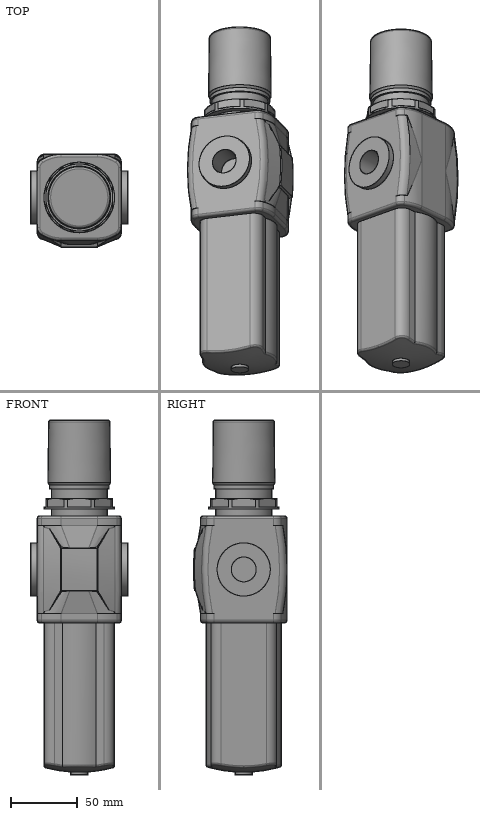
import cadquery as cq
import math


TOTAL_HEIGHT = 266.0
HOUSING_BOTTOM = 113.8
HOUSING_TOP = 194.1
HOUSING_HEIGHT = HOUSING_TOP - HOUSING_BOTTOM
PORT_Z = (HOUSING_BOTTOM + HOUSING_TOP) / 2

HOUSING_HALF_X = 31.52
HOUSING_HALF_Y = 32.5
FLAT_HALF_X = 13.5
CHEEK_END_Y = 25.8
CORNER_RADIUS = 6.6
RIM_FILLET = 2.0

BAND_HEIGHT = 7.2
CROWN_BOTTOM = HOUSING_BOTTOM + BAND_HEIGHT
CROWN_TOP = HOUSING_TOP - BAND_HEIGHT
CROWN_RADIUS = 173.0
CROWN_HALF_ANGLE = 20.0
CORNER_X = 26.9
CORNER_BULGE = 1.2
CROWN_SIDE_Y = 26.9
CROWN_CORNER_Y = 31.6
PANEL_Y = 37.8
PANEL_HALF_X = 13.3
PANEL_HALF_Z = 15.5
PANEL_BEVEL = 0.8
PANEL_STEP = 0.8
PANEL_FOOT_HALF_X = PANEL_HALF_X + PANEL_BEVEL

FACET_BAND_Y = 28.7
FACET_TIP_HALF_X = 7.0
FACET_TIP_Y = 35.5
FACET_CORNER_Y = 32.7
DIAGONAL_DRAFT = 18.0

PORT_DIAMETER = 40.0
PORT_HALF_SPAN = 36.5
PORT_BORE = 18.5
PORT_BORE_DEPTH = 21.3

BOWL_HALF_X = 26.3
BOWL_FLAT_Y = 24.7
BOWL_CORNER_RADIUS = 7.7
BOWL_BULGE_HALF_X = 12.5
BOWL_BULGE_Y = 28.2
BOWL_RIM_FILLET = 1.5
DOME_RADIUS = 95.7
DOME_BOTTOM = 1.9
DRAIN_DIAMETER = 13.0

NECK_DIAMETER = 42.0
NUT_FLANGE_BOTTOM = 199.2
NUT_FLANGE_TOP = 200.8
NUT_TOP = 207.2
NUT_DIAMETER = 53.0
NUT_ACROSS_FLATS = 50.0
NUT_SIDES = 8
NUT_CHAMFER_HEIGHT = 0.8
NUT_CHAMFER_WIDTH = 1.3
COLLAR_DIAMETER = 45.0
COLLAR_BOTTOM = 214.4
KNOB_BOTTOM = 217.3
KNOB_EDGE = 219.1
KNOB_BOTTOM_DIAMETER = 47.0
KNOB_TOP_DIAMETER = 46.0
KNOB_FILLET = 1.5


def bulged_point(start, end, sag):
    """Point at distance sag from the middle of a chord, away from the Z axis."""
    mid_x = (start[0] + end[0]) / 2
    mid_y = (start[1] + end[1]) / 2
    normal_x = end[1] - start[1]
    normal_y = start[0] - end[0]
    length = math.hypot(normal_x, normal_y)
    side = math.copysign(sag / length, normal_x * mid_x + normal_y * mid_y)
    return (mid_x + side * normal_x, mid_y + side * normal_y)


def box_between(x_min, x_max, y_min, y_max, z_min, z_max):
    size = (x_max - x_min, y_max - y_min, z_max - z_min)
    return cq.Workplane("XY").box(*size, centered=False).translate((x_min, y_min, z_min))


def housing_block():
    """Straight block with bowed cheeks and rounded corners, its end rims filleted."""
    quarter = (
        cq.Workplane("XY", origin=(0, 0, HOUSING_BOTTOM))
        .lineTo(0, HOUSING_HALF_Y)
        .lineTo(FLAT_HALF_X, HOUSING_HALF_Y)
        .tangentArcPoint((HOUSING_HALF_X, CHEEK_END_Y), relative=False)
        .lineTo(HOUSING_HALF_X, 0)
        .close()
        .extrude(HOUSING_HEIGHT)
    )
    back_half = quarter.union(quarter.mirror("YZ"))
    block = back_half.union(back_half.mirror("XZ")).clean()
    block = block.edges("|Z").edges("<X or >X").fillet(CORNER_RADIUS)
    block = block.faces("<Z or >Z").edges().fillet(RIM_FILLET)
    front_space = box_between(
        -HOUSING_HALF_X, HOUSING_HALF_X, -HOUSING_HALF_Y, 0,
        CROWN_BOTTOM, CROWN_TOP,
    )
    return block.cut(front_space)


def crown(points, outer_y):
    """Profile in the port plane swept along an arc about an axis parallel to X."""
    side = (HOUSING_HALF_X, CROWN_SIDE_Y)
    corner = points[0]
    profile = (
        cq.Workplane("XY", origin=(0, 0, PORT_Z))
        .moveTo(-HOUSING_HALF_X, 0)
        .lineTo(HOUSING_HALF_X, 0)
        .lineTo(*side)
        .threePointArc(bulged_point(side, corner, CORNER_BULGE), corner)
    )
    for point in points[1:]:
        profile = profile.lineTo(*point)
    for x, y in reversed(points[1:]):
        profile = profile.lineTo(-x, y)
    left_side = (-side[0], side[1])
    left_corner = (-corner[0], corner[1])
    profile = (
        profile.lineTo(*left_corner)
        .threePointArc(bulged_point(left_corner, left_side, CORNER_BULGE), left_side)
        .close()
    )
    axis_y = outer_y - CROWN_RADIUS
    swept = profile.revolve(2 * CROWN_HALF_ANGLE, (0, axis_y, 0), (1, axis_y, 0)).rotate(
        (0, axis_y, PORT_Z), (1, axis_y, PORT_Z), -CROWN_HALF_ANGLE
    )
    band = box_between(
        -HOUSING_HALF_X, HOUSING_HALF_X, 0, outer_y,
        CROWN_BOTTOM, CROWN_TOP,
    )
    return swept.intersect(band)


def facet_section(z, flat_x, flat_y, corner_x, corner_y):
    """Right half of a level section: a flat middle that curves back to the corner."""
    return (
        cq.Workplane("XY", origin=(0, 0, z))
        .moveTo(0, flat_y)
        .lineTo(flat_x, flat_y)
        .tangentArcPoint((corner_x, corner_y), relative=False)
        .lineTo(corner_x, 0)
        .lineTo(0, 0)
        .close()
        .val()
    )


def upper_facets():
    """Sloping face from the upper end band to the front panel, drawn on the +Y side."""
    band = facet_section(CROWN_TOP, FLAT_HALF_X, HOUSING_HALF_Y, CORNER_X, FACET_BAND_Y)
    tip = facet_section(
        PORT_Z + PANEL_HALF_Z, FACET_TIP_HALF_X, FACET_TIP_Y, PANEL_FOOT_HALF_X, FACET_CORNER_Y
    )
    right_half = cq.Workplane(cq.Solid.makeLoft([tip, band], True))
    return right_half.union(right_half.mirror("YZ"))


def upper_facet_space():
    """Space above the panel between its two diagonal edges, with drafted walls."""
    tip_z = PORT_Z + PANEL_HALF_Z
    run_out = 2 * BAND_HEIGHT
    slope = (CORNER_X - PANEL_FOOT_HALF_X) / (CROWN_TOP - tip_z)
    end_x = CORNER_X + slope * run_out
    end_z = CROWN_TOP + run_out
    trapezoid = [
        (-PANEL_FOOT_HALF_X, tip_z),
        (PANEL_FOOT_HALF_X, tip_z),
        (end_x, end_z),
        (-end_x, end_z),
    ]
    return (
        cq.Workplane("XZ", origin=(0, PANEL_Y, 0))
        .polyline(trapezoid)
        .close()
        .extrude(PANEL_Y / 2, taper=DIAGONAL_DRAFT)
    )


def both_ends(upper):
    """A shape above the port level together with its mirror image below."""
    lower = upper.mirror("XY", (0, 0, PORT_Z))
    return upper, lower


def front_crown():
    """Crowned front with its raised panel; shaped on the +Y side, then mirrored to -Y."""
    shape = crown(
        [
            (CORNER_X, CROWN_CORNER_Y),
            (PANEL_FOOT_HALF_X, PANEL_Y - PANEL_STEP),
            (PANEL_HALF_X, PANEL_Y),
        ],
        PANEL_Y,
    )
    for space in both_ends(upper_facet_space()):
        shape = shape.cut(space)
    for facets in both_ends(upper_facets()):
        shape = shape.union(facets)
    return shape.mirror("XZ")


def back_crown():
    """Crowned corners of the back face."""
    return crown([(CORNER_X, HOUSING_HALF_Y)], HOUSING_HALF_Y)


def make_housing():
    port_axis = cq.Workplane("YZ", origin=(-PORT_HALF_SPAN, 0, PORT_Z))
    ports = port_axis.circle(PORT_DIAMETER / 2).extrude(2 * PORT_HALF_SPAN)
    housing = housing_block().union(front_crown()).union(back_crown()).union(ports)
    bore = port_axis.circle(PORT_BORE / 2).extrude(PORT_BORE_DEPTH)
    return housing.cut(bore).cut(bore.mirror("YZ"))


def make_bowl():
    shell = (
        cq.Workplane("XY")
        .rect(2 * BOWL_HALF_X, 2 * BOWL_FLAT_Y)
        .extrude(HOUSING_BOTTOM)
        .edges("|Z")
        .fillet(BOWL_CORNER_RADIUS)
    )
    bulges = (
        cq.Workplane("XY")
        .moveTo(-BOWL_BULGE_HALF_X, -BOWL_FLAT_Y)
        .threePointArc((0, -BOWL_BULGE_Y), (BOWL_BULGE_HALF_X, -BOWL_FLAT_Y))
        .lineTo(BOWL_BULGE_HALF_X, BOWL_FLAT_Y)
        .threePointArc((0, BOWL_BULGE_Y), (-BOWL_BULGE_HALF_X, BOWL_FLAT_Y))
        .close()
        .extrude(HOUSING_BOTTOM)
    )
    dome = cq.Workplane("XY").sphere(DOME_RADIUS).translate((0, 0, DOME_BOTTOM + DOME_RADIUS))
    bowl = shell.union(bulges).intersect(dome)
    bowl = bowl.faces("<Z").edges().fillet(BOWL_RIM_FILLET)
    drain = cq.Workplane("XY").circle(DRAIN_DIAMETER / 2).extrude(2 * DOME_BOTTOM)
    return bowl.union(drain)


def make_nut():
    """Eight-sided nut with rounded corners on a thin round flange."""
    corner_diameter = NUT_ACROSS_FLATS / math.cos(math.pi / NUT_SIDES)
    height = NUT_TOP - NUT_FLANGE_BOTTOM
    base = cq.Workplane("XY", origin=(0, 0, NUT_FLANGE_BOTTOM))
    flange = base.circle(NUT_DIAMETER / 2).extrude(NUT_FLANGE_TOP - NUT_FLANGE_BOTTOM)
    blank = (
        base.circle(NUT_DIAMETER / 2)
        .extrude(height)
        .faces(">Z")
        .chamfer(NUT_CHAMFER_HEIGHT, NUT_CHAMFER_WIDTH)
    )
    prism = (
        base.polygon(NUT_SIDES, corner_diameter)
        .extrude(height)
        .rotate((0, 0, 0), (0, 0, 1), 180 / NUT_SIDES)
    )
    return prism.intersect(blank).union(flange)


def make_adjuster():
    """Knob, collar and neck turned in one piece, with the nut on the neck."""
    turned = (
        cq.Workplane("XZ")
        .moveTo(0, HOUSING_TOP)
        .lineTo(NECK_DIAMETER / 2, HOUSING_TOP)
        .lineTo(NECK_DIAMETER / 2, COLLAR_BOTTOM)
        .lineTo(COLLAR_DIAMETER / 2, COLLAR_BOTTOM)
        .lineTo(COLLAR_DIAMETER / 2, KNOB_BOTTOM)
        .lineTo(KNOB_BOTTOM_DIAMETER / 2, KNOB_EDGE)
        .lineTo(KNOB_TOP_DIAMETER / 2, TOTAL_HEIGHT)
        .lineTo(0, TOTAL_HEIGHT)
        .close()
        .revolve(360, (0, 0, 0), (0, 1, 0))
        .faces(">Z")
        .edges()
        .fillet(KNOB_FILLET)
    )
    return turned.union(make_nut())


housing = make_housing().solids()
bowl = make_bowl().solids()
adjuster = make_adjuster().solids()

result = cq.Compound.makeCompound([housing.val(), bowl.val(), adjuster.val()])